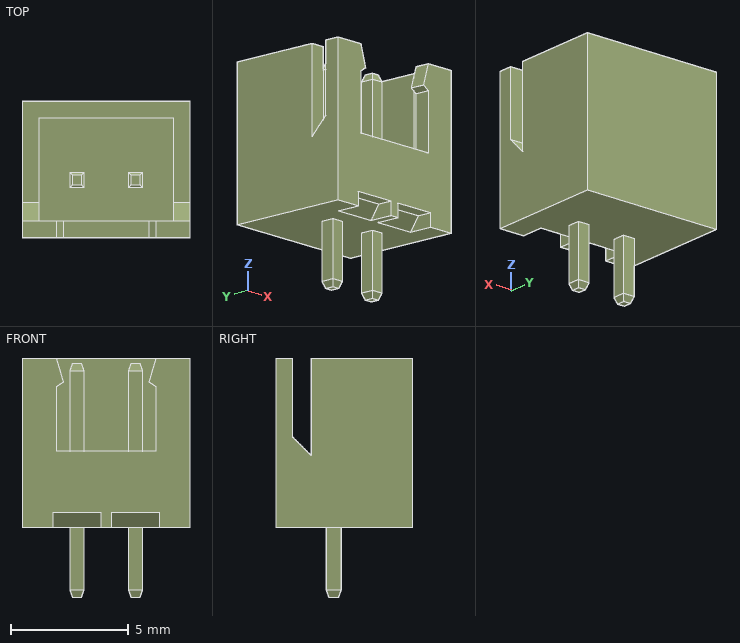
import cadquery as cq

width = 7.17
depth = 5.84
total_height = 10.21
housing_height = 7.23
wall = 0.71
floor_thickness = 0.69
front_y = -depth / 2
back_y = depth / 2

window_half_width = 2.12
window_sill_z = 3.27
barb_projection = 0.3
barb_tip_z = 6.22
barb_root_z = 6.02

slot_width = 0.79
slot_bottom_z = 3.09

pin_pitch = 2.5
pin_size_x = 0.6
pin_size_y = 0.64
pin_y = back_y - 3.37
pin_bottom_z = housing_height - total_height
pin_top_z = housing_height - 0.21
pin_tip_length = 0.32
pin_tip_inset = 0.11
pin_positions = (-pin_pitch / 2, pin_pitch / 2)

relief_width = 2.05
relief_height = 0.64
relief_slope_run = 0.45


def housing_box():
    """Box hollowed from above, leaving a floor and four walls."""
    box = cq.Workplane("XY").box(width, depth, housing_height, centered=(True, True, False))
    cavity = (
        cq.Workplane("XY", origin=(0, 0, floor_thickness))
        .rect(width - 2 * wall, depth - 2 * wall)
        .extrude(housing_height - floor_thickness)
    )
    return box.cut(cavity)


def front_window():
    """Window cutter, open at the top and narrowed by the two latch barbs."""
    barb_half_width = window_half_width - barb_projection
    right_side = [
        (window_half_width, window_sill_z),
        (window_half_width, barb_root_z),
        (barb_half_width, barb_tip_z),
        (window_half_width, housing_height),
    ]
    left_side = [(-x, z) for x, z in reversed(right_side)]
    return (
        cq.Workplane("XZ", origin=(0, front_y, 0))
        .polyline(right_side + left_side)
        .close()
        .extrude(-wall)
    )


def side_slots():
    """Cutter for both side slots, running across the full width."""
    slot_front = front_y + wall
    slot_back = slot_front + slot_width
    return (
        cq.Workplane("YZ")
        .polyline([
            (slot_front, housing_height),
            (slot_front, slot_bottom_z + slot_width),
            (slot_back, slot_bottom_z),
            (slot_back, housing_height),
        ])
        .close()
        .extrude(width / 2, both=True)
    )


def bottom_relief(x):
    """Slope-backed cutter under the front edge, centred on the pin at x."""
    ceiling_back = front_y + wall
    return (
        cq.Workplane("YZ", origin=(x, 0, 0))
        .polyline([
            (front_y, 0),
            (front_y, relief_height),
            (ceiling_back, relief_height),
            (ceiling_back + relief_slope_run, 0),
        ])
        .close()
        .extrude(relief_width / 2, both=True)
    )


def pin_tip(x, shoulder_z, end_z):
    """Tapered pin end from the full section at shoulder_z to the small face at end_z."""
    return (
        cq.Workplane("XY", origin=(x, pin_y, shoulder_z))
        .rect(pin_size_x, pin_size_y)
        .workplane(offset=end_z - shoulder_z)
        .rect(pin_size_x - 2 * pin_tip_inset, pin_size_y - 2 * pin_tip_inset)
        .loft(combine=True)
    )


def pin(x):
    """Straight post with a tapered tip at both ends."""
    lower_shoulder_z = pin_bottom_z + pin_tip_length
    upper_shoulder_z = pin_top_z - pin_tip_length
    post = (
        cq.Workplane("XY", origin=(x, pin_y, lower_shoulder_z))
        .rect(pin_size_x, pin_size_y)
        .extrude(upper_shoulder_z - lower_shoulder_z)
    )
    lower_tip = pin_tip(x, lower_shoulder_z, pin_bottom_z)
    upper_tip = pin_tip(x, upper_shoulder_z, pin_top_z)
    return post.union(lower_tip).union(upper_tip)


result = housing_box().cut(front_window()).cut(side_slots())
for pin_x in pin_positions:
    result = result.cut(bottom_relief(pin_x)).union(pin(pin_x))